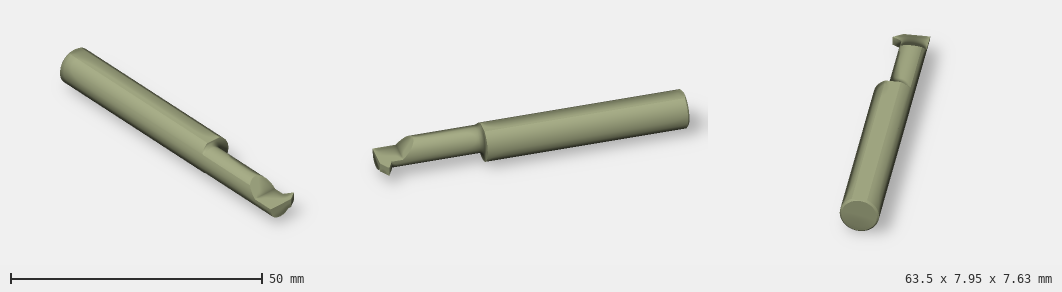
import cadquery as cq

total_length = 63.5
shank_diameter = 7.95
shank_radius = shank_diameter / 2
shank_length = 41.9
end_chamfer = 0.4
flat_height = 3.65

neck_radius = 2.85
neck_offset_y = -1.4
neck_fillet = 0.75
neck_side_y = neck_offset_y + neck_radius

rake_height = 0.0
slope_bottom_x = 58.75
slope_top_x = slope_bottom_x - (neck_radius - rake_height)

tooth_start_x = 61.1
tooth_apex_x = 62.15
tooth_apex_y = 3.4
tooth_depth = 1.9


def make_bar(length):
    """Round bar along X, chamfered at its -X end."""
    bar = cq.Workplane("YZ").circle(shank_radius).extrude(length)
    return bar.faces("<X").chamfer(end_chamfer)


def make_shank_and_neck():
    """Shank and eccentric neck, blended and kept inside the bar envelope."""
    block_size = 2 * shank_diameter
    block = cq.Workplane("YZ").rect(block_size, block_size).extrude(shank_length)
    neck = (
        cq.Workplane("YZ")
        .center(neck_offset_y, 0)
        .circle(neck_radius)
        .extrude(total_length)
    )
    root = cq.selectors.BoxSelector(
        (shank_length - neck_fillet, -shank_diameter, -shank_diameter),
        (shank_length + neck_fillet, neck_side_y + neck_fillet, shank_diameter),
    )
    blended = block.union(neck).edges("%CIRCLE").edges(root).fillet(neck_fillet)
    return blended.intersect(make_bar(total_length))


def make_flat_cutter():
    """Block above the clamping flat."""
    return (
        cq.Workplane("XY", origin=(0, 0, flat_height))
        .rect(2 * total_length, shank_diameter)
        .extrude(shank_radius)
    )


def make_tip_cutter():
    """Prism above the rake face and its sloping run-out."""
    return (
        cq.Workplane("XZ")
        .moveTo(slope_top_x, neck_radius)
        .lineTo(slope_bottom_x, rake_height)
        .lineTo(total_length, rake_height)
        .lineTo(total_length, neck_radius)
        .close()
        .extrude(shank_diameter, both=True)
    )


def make_tooth():
    """Pointed tooth below the rake face, rooted inside the neck."""
    return (
        cq.Workplane("XY", origin=(0, 0, rake_height))
        .moveTo(tooth_start_x, neck_offset_y)
        .lineTo(tooth_start_x, neck_side_y)
        .lineTo(tooth_apex_x, tooth_apex_y)
        .lineTo(total_length, neck_side_y)
        .lineTo(total_length, neck_offset_y)
        .close()
        .extrude(-tooth_depth)
    )


result = (
    make_shank_and_neck()
    .cut(make_flat_cutter())
    .cut(make_tip_cutter())
    .union(make_tooth())
)